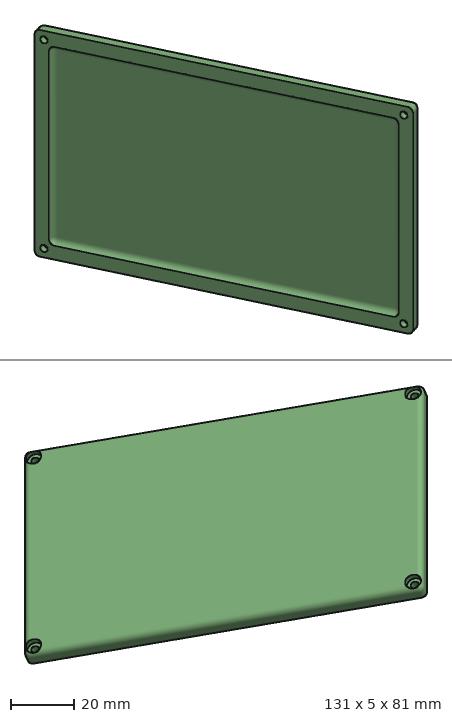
import cadquery as cq

width = 131.0
thickness = 5.0
height = 81.0
edge_radius = 2.0

rim_width = 5.0
recess_depth = 2.0
recess_radius = 2.0

hole_inset = 3.25
hole_diameter = 2.5
head_diameter = 5.1
head_depth = 2.0


def front_plane(y):
    """Sketch plane facing -Y at depth y: local x is X, local y is Z."""
    return cq.Workplane("XZ", origin=(0, y, 0))


def make_plate():
    """Rectangular plate with rounded corners and a rounded back rim."""
    plate = cq.Workplane("XY").box(width, thickness, height)
    return plate.edges("|Y").fillet(edge_radius).faces(">Y").edges().fillet(edge_radius)


def make_recess():
    """Tray-shaped cutter, rounded at its corners and around its floor.

    The cutter stands proud of the front face by the recess depth, so the
    floor round can take up the full height of the recess wall.
    """
    cutter_front = -thickness / 2 - recess_depth
    recess = front_plane(cutter_front).rect(width - 2 * rim_width, height - 2 * rim_width)
    recess = recess.extrude(-2 * recess_depth)
    return recess.edges("|Y").fillet(recess_radius).faces(">Y").edges().fillet(recess_radius)


def make_holes():
    """Four through holes, each with a cylindrical head seat at the back."""
    spacing_x = width - 2 * hole_inset
    spacing_z = height - 2 * hole_inset
    back = front_plane(thickness / 2).rect(spacing_x, spacing_z, forConstruction=True).vertices()
    holes = back.circle(hole_diameter / 2).extrude(thickness)
    seats = back.circle(head_diameter / 2).extrude(head_depth)
    return holes.union(seats)


result = make_plate().cut(make_recess()).cut(make_holes())